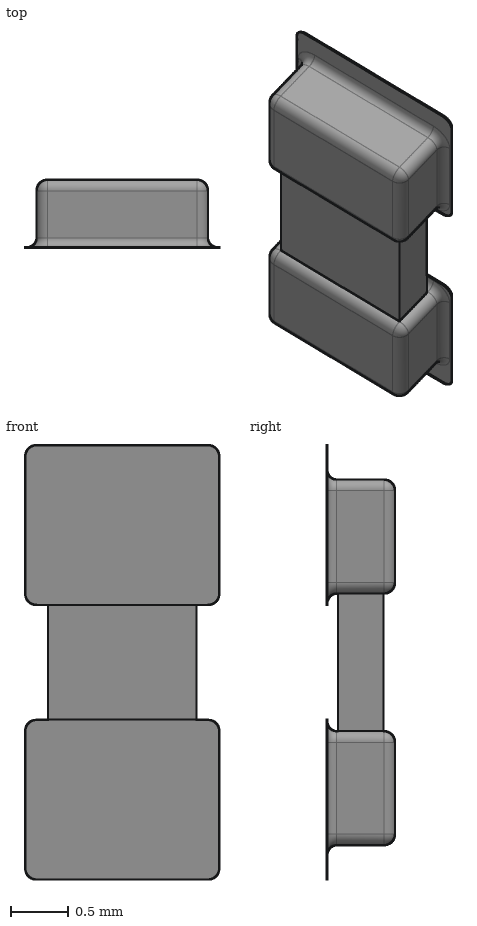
import cadquery as cq

total_height = 3.8
total_depth = 0.6
flange_width = 1.7
flange_height = 1.4
flange_thickness = 0.01
cap_width = 1.5
cap_height = 1.0
inner_overhang = 0.1
corner_radius = 0.1
root_fillet = 0.08
bar_width = 1.3
bar_depth = 0.4

flange_center_z = (total_height - flange_height) / 2
cap_inner_z = total_height / 2 - flange_height + inner_overhang
cap_center_z = cap_inner_z + cap_height / 2


def block(width, depth, height, center_z=0.0, front_y=0.0):
    """Box centred on X whose front face is at front_y."""
    center = (0, front_y + depth / 2, center_z)
    return cq.Workplane("XY").box(width, depth, height).translate(center)


def make_end_cap():
    """Upper rounded cap blended into its thin flange."""
    flange = block(flange_width, flange_thickness, flange_height, flange_center_z)
    flange = flange.edges("|Y").fillet(corner_radius)
    cap = block(cap_width, total_depth, cap_height, cap_center_z)
    cap = cap.edges("|Y").fillet(corner_radius)
    cap = cap.faces(">Y").edges().fillet(corner_radius)
    joined = flange.union(cap)

    half_width = cap_width / 2 + root_fillet / 2
    half_height = cap_height / 2 + root_fillet / 2
    root_zone = cq.selectors.BoxSelector(
        (-half_width, flange_thickness / 2, cap_center_z - half_height),
        (half_width, flange_thickness * 3 / 2, cap_center_z + half_height),
    )
    return joined.edges(root_zone).fillet(root_fillet)


bar = block(bar_width, bar_depth, 2 * cap_inner_z, front_y=(total_depth - bar_depth) / 2)

upper_cap = make_end_cap()
lower_cap = upper_cap.mirror("XY")
result = bar.union(upper_cap).union(lower_cap)